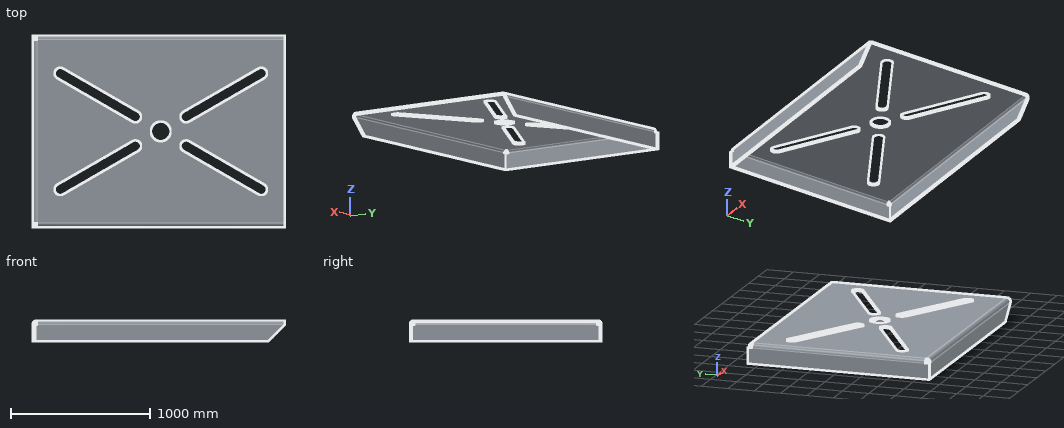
import cadquery as cq
import math

length = 1810.0
width = 1375.0
height = 150.0

thickness = 15.0
bend_radius = 2 * thickness
inner_radius = bend_radius - thickness
flange_height = height - bend_radius
corner_gap = 5.0

centre_x = 920.0
hole_diameter = 140.0
slot_width = 80.0
slot_angle = 30.0
slot_inner_distance = 210.0
slot_outer_distance = 833.0


def bend_and_flange(plane, bend_start, bend_end, flange_start, flange_end):
    """Fold a quarter-round bend and a flange down from the deck.

    The plane's local x points inward from the flange's outer face, local y is up,
    and the given positions are measured along the plane's normal.
    """
    middle = math.sqrt(0.5)
    bend = (
        cq.Workplane(plane)
        .workplane(offset=bend_start)
        .moveTo(0, flange_height)
        .threePointArc(
            (bend_radius * (1 - middle), flange_height + bend_radius * middle),
            (bend_radius, height),
        )
        .lineTo(bend_radius, height - thickness)
        .threePointArc(
            (bend_radius - inner_radius * middle, flange_height + inner_radius * middle),
            (thickness, flange_height),
        )
        .close()
        .extrude(bend_end - bend_start)
    )
    flange = (
        cq.Workplane(plane)
        .workplane(offset=flange_start)
        .rect(thickness, flange_height, centered=False)
        .extrude(flange_end - flange_start)
    )
    return bend.union(flange)


deck = (
    cq.Workplane("XY")
    .box(length - bend_radius, width - 2 * bend_radius, thickness, centered=(False, True, False))
    .translate((bend_radius, 0, height - thickness))
)

end_plane = cq.Plane(origin=(0, 0, 0), xDir=(1, 0, 0), normal=(0, -1, 0))
half_bend = width / 2 - bend_radius
end_flange = bend_and_flange(end_plane, -half_bend, half_bend, -width / 2, width / 2)

side_plane = cq.Plane(origin=(0, -width / 2, 0), xDir=(0, 1, 0), normal=(1, 0, 0))
side_flange = bend_and_flange(side_plane, bend_radius, length, thickness + corner_gap, length)
bevel = (
    cq.Workplane("XZ")
    .polyline([(length, 0), (length, flange_height), (length - flange_height, 0)])
    .close()
    .extrude(width / 2)
)
side_flange = side_flange.cut(bevel)

tray = deck.union(end_flange).union(side_flange).union(side_flange.mirror("XZ"))

tray = tray.cut(cq.Workplane("XY").center(centre_x, 0).circle(hole_diameter / 2).extrude(height))

slot_length = slot_outer_distance - slot_inner_distance + slot_width
slot_middle = (slot_inner_distance + slot_outer_distance) / 2
radial_slot = cq.Workplane("XY").center(slot_middle, 0).slot2D(slot_length, slot_width).extrude(height)
for angle in (slot_angle, 180 - slot_angle, 180 + slot_angle, -slot_angle):
    tray = tray.cut(radial_slot.rotate((0, 0, 0), (0, 0, 1), angle).translate((centre_x, 0, 0)))

result = tray